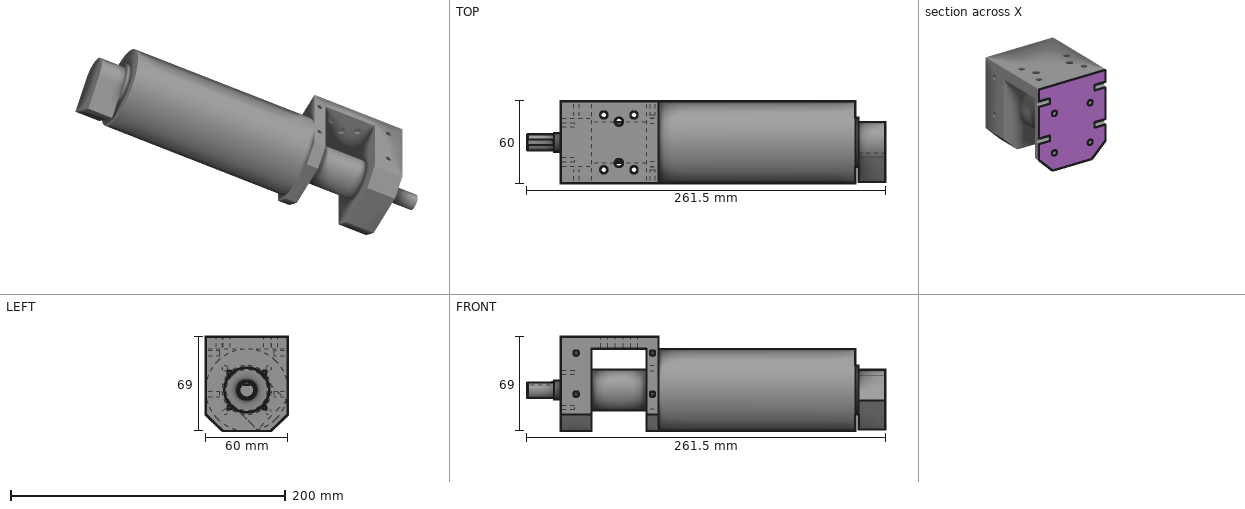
import cadquery as cq


bracket_length = 71.5
bracket_width = 60.0
bracket_top = 39.0
bracket_bottom = -bracket_width / 2
front_wall = 22.5
rear_wall = 9.0
top_wall = 9.0
corner_width = 12.5
corner_height = 12.0

gap_middle = (front_wall + bracket_length - rear_wall) / 2
mount_hole_diameter = 5.0
mount_hole_spacing_x = 22.0
mount_hole_spacing_y = 40.0
dowel_hole_diameter = 5.8
dowel_hole_spacing = 30.0

side_hole_diameter = 4.0
side_hole_depth = 10.0
side_hole_levels = (27.0, -3.0)

cover_seat_diameter = 33.0
cover_diameter = 32.4
cover_groove_depth = 0.2
cover_hole_circle = 36.0
cover_hole_diameter = 3.0
cover_hole_depth = 10.0

holes_per_ring = 4
ring_start_angle = 45.0

motor_hole_diameter = 4.0
motor_hole_circle = 45.0

sleeve_diameter = 30.0
motor_diameter = 60.0
motor_length = 143.5
flange_diameter = 36.0
flange_length = 2.5
collar_diameter = 14.0
collar_length = 4.8
shaft_diameter = 12.0
shaft_tip = -24.5
shaft_tip_chamfer = 0.5

key_width = 4.0
key_depth = 2.5

connector_width = 30.0
connector_reach = 26.0
connector_length = 19.5
connector_angle = 45.0

motor_end = bracket_length + motor_length
flange_end = motor_end + flange_length


def cylinder_along_x(diameter, start, end):
    return cq.Workplane("YZ", origin=(start, 0, 0)).circle(diameter / 2).extrude(end - start)


def screw_hole_ring(circle_diameter, hole_diameter, start, depth):
    return (
        cq.Workplane("YZ", origin=(start, 0, 0))
        .polarArray(circle_diameter / 2, ring_start_angle, 360, holes_per_ring)
        .circle(hole_diameter / 2)
        .extrude(depth)
    )


def make_bracket():
    half_width = bracket_width / 2
    block = (
        cq.Workplane("YZ")
        .moveTo(-half_width, bracket_top)
        .lineTo(half_width, bracket_top)
        .lineTo(half_width, bracket_bottom + corner_height)
        .lineTo(half_width - corner_width, bracket_bottom)
        .lineTo(-half_width + corner_width, bracket_bottom)
        .lineTo(-half_width, bracket_bottom + corner_height)
        .close()
        .extrude(bracket_length)
    )
    gap = cq.Workplane("XY").box(
        bracket_length - front_wall - rear_wall,
        bracket_width,
        bracket_top - top_wall - bracket_bottom,
        centered=(True, True, False),
    )
    return block.cut(gap.translate((gap_middle, 0, bracket_bottom)))


def cut_top_holes(body):
    top = cq.Workplane("XY", origin=(gap_middle, 0, bracket_top))
    mount_holes = (
        top.rect(mount_hole_spacing_x, mount_hole_spacing_y, forConstruction=True)
        .vertices()
        .circle(mount_hole_diameter / 2)
        .extrude(-top_wall)
    )
    dowel_holes = (
        top.rarray(1, dowel_hole_spacing, 1, 2)
        .circle(dowel_hole_diameter / 2)
        .extrude(-top_wall)
    )
    return body.cut(mount_holes).cut(dowel_holes)


def cut_side_holes(body):
    wall_middles = (front_wall / 2, bracket_length - rear_wall / 2)
    centers = [(x, z) for x in wall_middles for z in side_hole_levels]
    near_holes = (
        cq.Workplane("XZ", origin=(0, -bracket_width / 2, 0))
        .pushPoints(centers)
        .circle(side_hole_diameter / 2)
        .extrude(-side_hole_depth)
    )
    return body.cut(near_holes).cut(near_holes.mirror("XZ"))


def cut_bearing_cover(body):
    seat = cylinder_along_x(cover_seat_diameter, 0, cover_groove_depth)
    groove = seat.cut(cylinder_along_x(cover_diameter, 0, cover_groove_depth))
    screw_holes = screw_hole_ring(cover_hole_circle, cover_hole_diameter, 0, cover_hole_depth)
    return body.cut(groove).cut(screw_holes)


def cut_motor_holes(body):
    wall_face = bracket_length - rear_wall
    return body.cut(screw_hole_ring(motor_hole_circle, motor_hole_diameter, wall_face, rear_wall))


def make_shaft():
    shaft = cylinder_along_x(shaft_diameter, shaft_tip, -collar_length)
    shaft = shaft.faces("<X").chamfer(shaft_tip_chamfer)
    key_floor = shaft_diameter / 2 - key_depth
    key_end_radius = key_width / 2
    keyway = (
        cq.Workplane("XY", origin=(0, 0, key_floor))
        .moveTo(shaft_tip, -key_end_radius)
        .lineTo(-collar_length - key_end_radius, -key_end_radius)
        .threePointArc((-collar_length, 0), (-collar_length - key_end_radius, key_end_radius))
        .lineTo(shaft_tip, key_end_radius)
        .close()
        .extrude(key_depth)
    )
    collar = cylinder_along_x(collar_diameter, -collar_length, front_wall)
    return shaft.cut(keyway).union(collar)


def make_connector():
    radius = connector_width / 2
    upright = (
        cq.Workplane("YZ", origin=(flange_end, 0, 0))
        .moveTo(radius, 0)
        .threePointArc((0, radius), (-radius, 0))
        .lineTo(-radius, -connector_reach)
        .lineTo(radius, -connector_reach)
        .close()
        .extrude(connector_length)
    )
    return upright.rotate((0, 0, 0), (1, 0, 0), -connector_angle)


result = cut_top_holes(make_bracket())
result = cut_side_holes(result)
result = cut_bearing_cover(result)
result = cut_motor_holes(result)
result = result.union(cylinder_along_x(sleeve_diameter, front_wall, bracket_length))
result = result.union(cylinder_along_x(motor_diameter, bracket_length, motor_end))
result = result.union(cylinder_along_x(flange_diameter, motor_end, flange_end))
result = result.union(make_shaft())
result = result.union(make_connector())